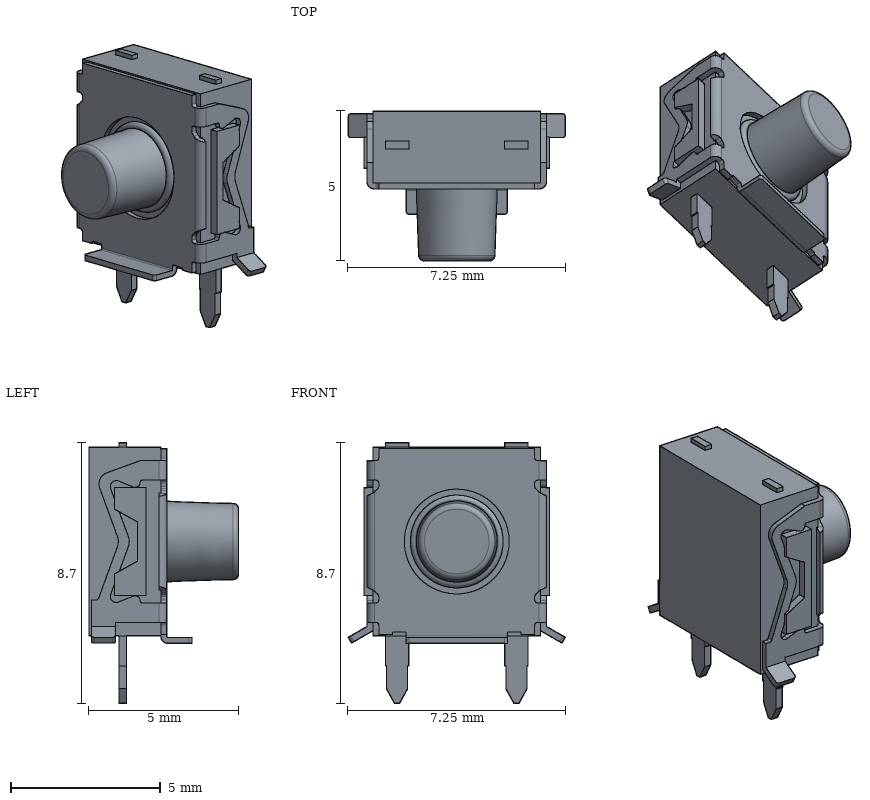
import cadquery as cq
import math


OVERALL_WIDTH = 7.25
OVERALL_HEIGHT = 8.7

BODY_HALF_WIDTH = 2.8
BODY_HALF_HEIGHT = 3.15
BODY_DEPTH = 2.4

SHEET = 0.2
COVER_HALF_WIDTH = BODY_HALF_WIDTH + SHEET
COVER_FRONT = BODY_DEPTH + SHEET
COVER_TOP = 3.1
COVER_BEND_RADIUS = 0.26
BEND_START = COVER_FRONT - COVER_BEND_RADIUS
COVER_HOLE_DIAMETER = 3.5
CORNER_HALF_WIDTH = 2.6
EAR_OUTER_Z = 2.7
EAR_INNER_Z = 2.045
NOTCH_LEDGE_Z = 1.8
NOTCH_KNEE = (2.75, 1.64)
MIDDLE_FLANGE_HALF_HEIGHT = 1.51
RELIEF_OUTER_X = 2.15
RELIEF_TOP_Z = -3.01
NOTCH_FILLET = 0.1
KNEE_RADIUS = 0.435
RELIEF_FILLET = 0.05
TIP_FILLET = 0.1

TONGUE_HALF_WIDTH = 1.69
TONGUE_END = 3.445
TONGUE_BOTTOM = -3.4
TONGUE_INNER_RADIUS = 0.04

BAND_RADIUS = 0.5
ARM_SHOULDER_FILLET = 0.1
ARM_BACK = 0.09
SHOULDER_Z = -1.95
ARM_SLOPE = math.tan(math.radians(70))
ARM_APEX_DEPTH = 1.02
ARM_KINK_DEPTH = 1.71
ARM_ELBOW_DEPTH = 0.23
ARM_ELBOW_Z = 2.16
ARM_ELBOW_RADIUS = 0.4
WINDOW_APEX_DEPTH = 1.38
WINDOW_CORNER_FILLET = 0.07
WINDOW_TOOTH_Z = 1.73
WINDOW_TOOTH_RADIUS = 0.165
WINDOW_ELBOW_DEPTH = 0.57
WINDOW_ELBOW_Z = 2.18
WINDOW_ELBOW_RADIUS = 0.2
ARM_SHOULDER_DEPTH = ARM_APEX_DEPTH + SHOULDER_Z / ARM_SLOPE

TAB_FRONT = 0.89
TAB_ANGLE = math.radians(30)
TAB_THICKNESS = 0.23
TAB_BEND_Z = -2.84
TAB_TIP_X = OVERALL_WIDTH / 2

LATCH_HALF_WIDTH = 3.1
LATCH_BACK = 0.86
LATCH_FRONT = 1.91
LATCH_HALF_HEIGHT = 1.8
LATCH_NOTCH_DEPTH = 1.63
LATCH_NOTCH_OUTER_Z = 1.08
LATCH_NOTCH_INNER_Z = 0.65

PIN_X = 1.99
PIN_DEPTH = 1.13
PIN_THICKNESS = 0.26
PIN_HALF_WIDTH = 0.39
PIN_LOWER_HALF_WIDTH = 0.36
PIN_TIP_HALF_WIDTH = 0.09
PIN_TOP = 3.3
PIN_STEP_Z = -4.15
PIN_TAPER_Z = -4.91
PIN_BOTTOM = PIN_TOP - OVERALL_HEIGHT

COLLAR_DIAMETER = 3.1
COLLAR_HEIGHT = 0.17
COLLAR_FILLET = 0.165
BUTTON_BASE_RADIUS = 1.36
BUTTON_END_RADIUS = 1.27
BUTTON_END = 5.0
BUTTON_FILLET = 0.2


def rounded_outline(plane, corners):
    """Closed outline from (u, v, radius) corners; a radius of 0 leaves the corner sharp."""
    points = [cq.Vector(u, v) for u, v, _ in corners]
    sketch = None
    for i, corner in enumerate(points):
        radius = corners[i][2]
        before = (points[i - 1] - corner).normalized()
        after = (points[(i + 1) % len(points)] - corner).normalized()
        half_angle = before.getAngle(after) / 2
        tangent_length = radius / math.tan(half_angle)
        start = corner + before * tangent_length
        sketch = sketch.lineTo(start.x, start.y) if sketch else cq.Workplane(plane).moveTo(start.x, start.y)
        if radius > 0:
            bisector = (before + after).normalized()
            middle = corner + bisector * (radius / math.sin(half_angle) - radius)
            end = corner + after * tangent_length
            sketch = sketch.threePointArc((middle.x, middle.y), (end.x, end.y))
    return sketch.close()


def both_sides(left):
    """A left-hand feature together with its mirror image on the right."""
    return left.union(left.mirror("YZ"))


def make_body():
    """Plain housing block with its back face on Y = 0."""
    body = cq.Workplane("XY").box(2 * BODY_HALF_WIDTH, BODY_DEPTH, 2 * BODY_HALF_HEIGHT)
    return body.translate((0, -BODY_DEPTH / 2, 0))


def make_latch():
    """Left latch block with a trapezoidal notch in its back edge."""
    outline = [
        (-LATCH_FRONT, LATCH_HALF_HEIGHT),
        (-LATCH_BACK, LATCH_HALF_HEIGHT),
        (-LATCH_BACK, LATCH_NOTCH_OUTER_Z),
        (-LATCH_NOTCH_DEPTH, LATCH_NOTCH_INNER_Z),
        (-LATCH_NOTCH_DEPTH, -LATCH_NOTCH_INNER_Z),
        (-LATCH_BACK, -LATCH_NOTCH_OUTER_Z),
        (-LATCH_BACK, -LATCH_HALF_HEIGHT),
        (-LATCH_FRONT, -LATCH_HALF_HEIGHT),
    ]
    latch = cq.Workplane("YZ").polyline(outline).close().extrude(LATCH_HALF_WIDTH - BODY_HALF_WIDTH)
    return latch.translate((-LATCH_HALF_WIDTH, 0, 0))


def make_cover_front():
    """Front plate with its bent edges, corner cut-outs, side notches and button hole."""
    bend_centre_x = COVER_HALF_WIDTH - COVER_BEND_RADIUS
    section = (
        cq.Workplane("XY", origin=(0, 0, -BODY_HALF_HEIGHT))
        .moveTo(-COVER_HALF_WIDTH, -BEND_START)
        .radiusArc((-bend_centre_x, -COVER_FRONT), -COVER_BEND_RADIUS)
        .lineTo(bend_centre_x, -COVER_FRONT)
        .radiusArc((COVER_HALF_WIDTH, -BEND_START), -COVER_BEND_RADIUS)
        .close()
    )
    blank = section.extrude(2 * BODY_HALF_HEIGHT).cut(make_body())

    upper_side = [
        (COVER_HALF_WIDTH, EAR_INNER_Z, 0),
        (CORNER_HALF_WIDTH, EAR_INNER_Z, NOTCH_FILLET),
        (CORNER_HALF_WIDTH, NOTCH_LEDGE_Z, NOTCH_FILLET),
        (*NOTCH_KNEE, KNEE_RADIUS),
        (COVER_HALF_WIDTH, MIDDLE_FLANGE_HALF_HEIGHT, 0),
    ]
    lower_side = [(x, -z, radius) for x, z, radius in reversed(upper_side)]
    right_half = [
        (CORNER_HALF_WIDTH, COVER_TOP, 0),
        (CORNER_HALF_WIDTH, EAR_OUTER_Z, NOTCH_FILLET),
        (COVER_HALF_WIDTH, EAR_OUTER_Z, 0),
        *upper_side,
        *lower_side,
        (COVER_HALF_WIDTH, -EAR_OUTER_Z, 0),
        (CORNER_HALF_WIDTH, -EAR_OUTER_Z, NOTCH_FILLET),
        (CORNER_HALF_WIDTH, -COVER_TOP, 0),
        (RELIEF_OUTER_X, -COVER_TOP, 0),
        (RELIEF_OUTER_X, RELIEF_TOP_Z, RELIEF_FILLET),
        (TONGUE_HALF_WIDTH, RELIEF_TOP_Z, RELIEF_FILLET),
        (TONGUE_HALF_WIDTH, -COVER_TOP, 0),
    ]
    left_half = [(-x, z, radius) for x, z, radius in reversed(right_half)]
    outline = rounded_outline("XZ", right_half + left_half).extrude(COVER_FRONT)
    hole = cq.Workplane("XZ").circle(COVER_HOLE_DIAMETER / 2).extrude(COVER_FRONT)
    return blank.intersect(outline).cut(hole)


def make_tongue():
    """Bottom strip of the cover, bent forward."""
    outer_radius = TONGUE_INNER_RADIUS + SHEET
    top = TONGUE_BOTTOM + SHEET
    profile = (
        cq.Workplane("YZ")
        .moveTo(-BODY_DEPTH, -COVER_TOP)
        .lineTo(-BODY_DEPTH, TONGUE_BOTTOM + outer_radius)
        .radiusArc((-BODY_DEPTH - outer_radius, TONGUE_BOTTOM), outer_radius)
        .lineTo(-TONGUE_END, TONGUE_BOTTOM)
        .lineTo(-TONGUE_END, top)
        .lineTo(-COVER_FRONT - TONGUE_INNER_RADIUS, top)
        .radiusArc((-COVER_FRONT, top + TONGUE_INNER_RADIUS), -TONGUE_INNER_RADIUS)
        .lineTo(-COVER_FRONT, -COVER_TOP)
        .close()
    )
    tongue = profile.extrude(TONGUE_HALF_WIDTH, both=True)
    return tongue.faces("<Y").edges("|Z").fillet(TIP_FILLET)


def make_arm():
    """Left spring arm: a wavy band around a window, lying on the side of the housing."""
    outer = [
        (-BEND_START, EAR_OUTER_Z, 0),
        (-ARM_KINK_DEPTH, EAR_OUTER_Z, 0),
        (-ARM_ELBOW_DEPTH, ARM_ELBOW_Z, ARM_ELBOW_RADIUS),
        (-ARM_APEX_DEPTH, 0, BAND_RADIUS),
        (-ARM_SHOULDER_DEPTH, SHOULDER_Z, ARM_SHOULDER_FILLET),
        (-ARM_BACK, SHOULDER_Z, 0),
        (-ARM_BACK, TAB_BEND_Z, 0),
        (-TAB_FRONT, TAB_BEND_Z, 0),
        (-TAB_FRONT, -EAR_OUTER_Z, 0),
        (-BEND_START, -EAR_OUTER_Z, 0),
    ]
    upper_window = [
        (-BEND_START, EAR_INNER_Z, 0),
        (-ARM_KINK_DEPTH, EAR_INNER_Z, WINDOW_CORNER_FILLET),
        (-ARM_KINK_DEPTH, WINDOW_TOOTH_Z, WINDOW_TOOTH_RADIUS),
        (-WINDOW_ELBOW_DEPTH, WINDOW_ELBOW_Z, WINDOW_ELBOW_RADIUS),
    ]
    lower_window = [(y, -z, radius) for y, z, radius in reversed(upper_window)]
    window = [*upper_window, (-WINDOW_APEX_DEPTH, 0, BAND_RADIUS), *lower_window]
    arm = rounded_outline("YZ", outer).extrude(SHEET).cut(rounded_outline("YZ", window).extrude(SHEET))
    return arm.translate((-COVER_HALF_WIDTH, 0, 0))


def make_tab():
    """Left solder tab, bent outward and down from the foot of the arm."""
    reach = TAB_TIP_X - COVER_HALF_WIDTH
    tip_z = TAB_BEND_Z - reach * math.tan(TAB_ANGLE)
    inner_z = TAB_BEND_Z + SHEET * math.tan(TAB_ANGLE) - TAB_THICKNESS / math.cos(TAB_ANGLE)
    outline = [
        (-BODY_HALF_WIDTH, TAB_BEND_Z),
        (-COVER_HALF_WIDTH, TAB_BEND_Z),
        (-TAB_TIP_X, tip_z),
        (-TAB_TIP_X + TAB_THICKNESS * math.sin(TAB_ANGLE), tip_z - TAB_THICKNESS * math.cos(TAB_ANGLE)),
        (-BODY_HALF_WIDTH, inner_z),
    ]
    tab = cq.Workplane("XZ", origin=(0, -ARM_BACK, 0)).polyline(outline).close().extrude(TAB_FRONT - ARM_BACK)
    tip_corners = cq.selectors.BoxSelector(
        (-TAB_TIP_X - SHEET, -COVER_FRONT, tip_z - SHEET), (-TAB_TIP_X + SHEET, 0, tip_z)
    )
    return tab.edges("not(|Y)").edges(tip_corners).fillet(TIP_FILLET)


def make_pin():
    """Left terminal pin: short stub above the housing, stepped and pointed blade below."""
    right_side = [
        (PIN_HALF_WIDTH, PIN_TOP),
        (PIN_HALF_WIDTH, PIN_STEP_Z),
        (PIN_LOWER_HALF_WIDTH, PIN_STEP_Z),
        (PIN_LOWER_HALF_WIDTH, PIN_TAPER_Z),
        (PIN_TIP_HALF_WIDTH, PIN_BOTTOM),
    ]
    left_side = [(-x, z) for x, z in reversed(right_side)]
    blade = cq.Workplane("XZ").polyline(right_side + left_side).close().extrude(PIN_THICKNESS / 2, both=True)
    return blade.translate((-PIN_X, -PIN_DEPTH, 0))


def make_button():
    """Tapered button with a rounded end, standing in a rounded collar."""
    base = cq.Workplane("XZ", origin=(0, -BODY_DEPTH, 0))
    collar = base.circle(COLLAR_DIAMETER / 2).extrude(COLLAR_HEIGHT).faces("<Y").edges().fillet(COLLAR_FILLET)
    length = BUTTON_END - BODY_DEPTH
    draft = math.degrees(math.atan((BUTTON_BASE_RADIUS - BUTTON_END_RADIUS) / length))
    button = base.circle(BUTTON_BASE_RADIUS).extrude(length, taper=draft)
    return collar.union(button.faces("<Y").edges().fillet(BUTTON_FILLET))


result = (
    make_body()
    .union(make_cover_front())
    .union(make_tongue())
    .union(both_sides(make_arm()))
    .union(both_sides(make_tab()))
    .union(both_sides(make_latch()))
    .union(both_sides(make_pin()))
    .union(make_button())
)